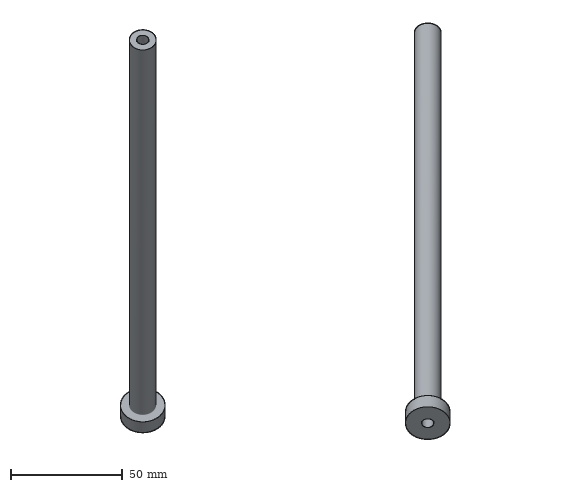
import cadquery as cq

total_length = 257.0
head_diameter = 20.0
head_height = 7.5
shaft_diameter = 12.0
bore_diameter = 5.5
neck_fillet_radius = 0.3


def cylinder(diameter, height):
    """Solid round bar standing on the XY plane, centred on the Z axis."""
    return cq.Workplane("XY").circle(diameter / 2).extrude(height)


head = cylinder(head_diameter, head_height)
shaft = cylinder(shaft_diameter, total_length)
bore = cylinder(bore_diameter, total_length)

smallest_circle = cq.selectors.RadiusNthSelector(0)
body = head.union(shaft)
neck_edge = body.faces("|Z").faces("<Z[1]").edges(smallest_circle)
body = neck_edge.fillet(neck_fillet_radius)

result = body.cut(bore)